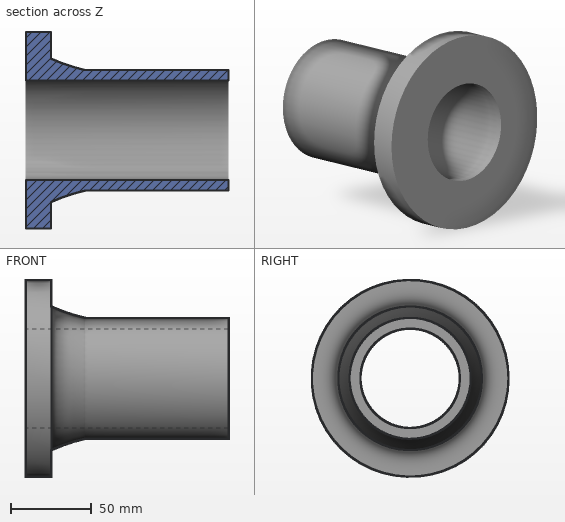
import cadquery as cq

total_length = 126.0
collar_diameter = 122.0
collar_thickness = 16.0
pipe_diameter = 75.0
bore_diameter = 61.4
neck_length = 21.0
neck_base_diameter = 89.0
neck_sag = 0.6

collar_radius = collar_diameter / 2
pipe_radius = pipe_diameter / 2
bore_radius = bore_diameter / 2
neck_base_radius = neck_base_diameter / 2
neck_end = collar_thickness + neck_length
neck_middle = (
    collar_thickness + neck_length / 2,
    (neck_base_radius + pipe_radius) / 2 - neck_sag,
)


def stub_end():
    """Revolve the half section, drawn as (X, radius), about the X axis."""
    half_section = (
        cq.Workplane("XY")
        .moveTo(0, bore_radius)
        .lineTo(0, collar_radius)
        .lineTo(collar_thickness, collar_radius)
        .lineTo(collar_thickness, neck_base_radius)
        .threePointArc(neck_middle, (neck_end, pipe_radius))
        .lineTo(total_length, pipe_radius)
        .lineTo(total_length, bore_radius)
        .close()
    )
    return half_section.revolve(360, (0, 0, 0), (1, 0, 0))


result = stub_end()